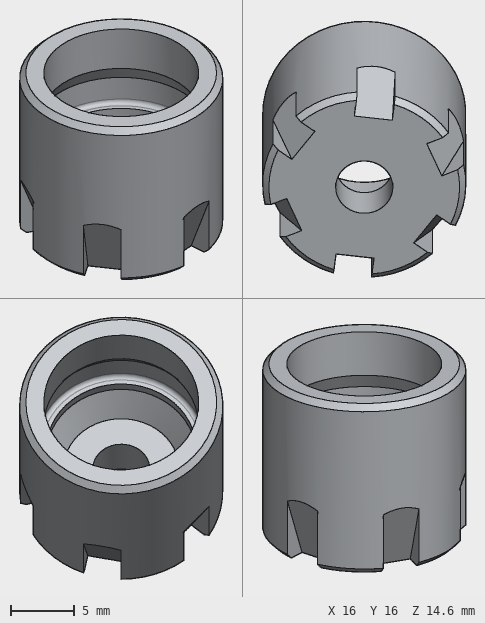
import cadquery as cq
import math

outer_diameter = 16.0
height = 14.6
edge_chamfer = 0.5

bore_diameter = 12.2
bore_depth = 3.76
relief_diameter = 13.3
relief_taper_end_depth = 5.0
relief_floor_depth = 7.44
relief_corner_radius = 0.38

seat_diameter = 11.8
seat_wall_length = 0.85
seat_floor_diameter = 9.1
cone_half_angle = 30.0
through_hole_diameter = 4.5

slot_count = 6
slot_width = 3.0
slot_height = 5.5
slot_floor_angle = 20.0
first_slot_angle = -90.0


def make_body():
    body = cq.Workplane("XY").circle(outer_diameter / 2).extrude(height)
    return body.faces("<Z or >Z").chamfer(edge_chamfer)


def make_cavity():
    """Revolved bore: straight entry, tapered relief, seat wall, cone and through hole."""
    bore_radius = bore_diameter / 2
    relief_radius = relief_diameter / 2
    seat_radius = seat_diameter / 2
    floor_radius = seat_floor_diameter / 2
    hole_radius = through_hole_diameter / 2

    relief_floor = height - relief_floor_depth
    cone_top = relief_floor - seat_wall_length
    cone_length = (seat_radius - floor_radius) / math.tan(math.radians(cone_half_angle))
    seat_floor = cone_top - cone_length

    arc_centre_r = relief_radius - relief_corner_radius
    arc_centre_z = relief_floor + relief_corner_radius
    arc_offset = relief_corner_radius * math.sqrt(0.5)

    profile = (
        cq.Workplane("XZ")
        .moveTo(0, height)
        .lineTo(bore_radius, height)
        .lineTo(bore_radius, height - bore_depth)
        .lineTo(relief_radius, height - relief_taper_end_depth)
        .lineTo(relief_radius, arc_centre_z)
        .threePointArc((arc_centre_r + arc_offset, arc_centre_z - arc_offset), (arc_centre_r, relief_floor))
        .lineTo(seat_radius, relief_floor)
        .lineTo(seat_radius, cone_top)
        .lineTo(floor_radius, seat_floor)
        .lineTo(hole_radius, seat_floor)
        .lineTo(hole_radius, 0)
        .lineTo(0, 0)
        .close()
    )
    return profile.revolve(360, (0, 0, 0), (0, 1, 0))


def make_slot_cutter(angle):
    """Wedge whose sloping floor meets the outer wall at slot_height and deepens downward."""
    outer_radius = outer_diameter / 2
    bottom_depth = slot_height * math.tan(math.radians(slot_floor_angle))
    wedge = (
        cq.Workplane("XZ")
        .moveTo(outer_radius, slot_height)
        .lineTo(outer_radius - bottom_depth, 0)
        .lineTo(outer_radius, 0)
        .close()
        .extrude(slot_width / 2, both=True)
    )
    return wedge.rotate((0, 0, 0), (0, 0, 1), angle)


result = make_body().cut(make_cavity())
for index in range(slot_count):
    result = result.cut(make_slot_cutter(first_slot_angle + index * 360 / slot_count))